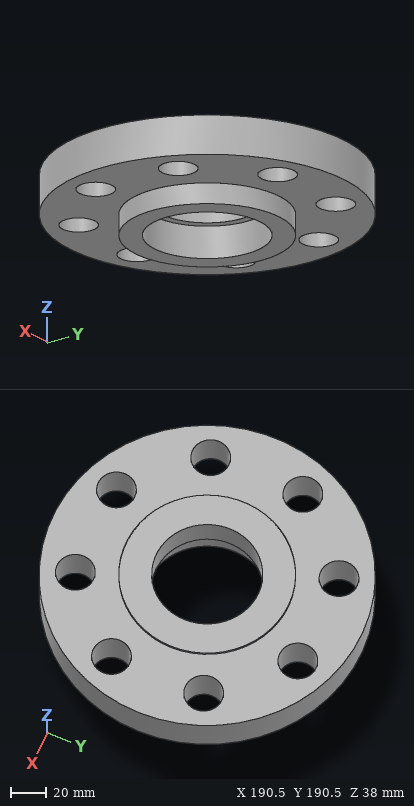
import cadquery as cq

flange_diameter = 190.5
flange_thickness = 24.0

hub_diameter = 100.2
hub_height = 12.5
raised_face_height = 1.5

bore_diameter = 62.9
socket_diameter = 73.5
socket_depth = 19.6

bolt_count = 8
bolt_hole_diameter = 22.5
bolt_circle_diameter = 149.4
bolt_pitch_angle = 360 / bolt_count

total_height = hub_height + flange_thickness + raised_face_height


def cylinder(diameter, base_z, height):
    """Solid cylinder on the part's axis, rising from base_z."""
    return cq.Workplane("XY").workplane(offset=base_z).circle(diameter / 2).extrude(height)


def bolt_holes():
    """Ring of cutters running through the flange plate."""
    return (
        cq.Workplane("XY")
        .workplane(offset=hub_height)
        .polarArray(bolt_circle_diameter / 2, bolt_pitch_angle / 2, 360, bolt_count)
        .circle(bolt_hole_diameter / 2)
        .extrude(flange_thickness)
    )


plate = cylinder(flange_diameter, hub_height, flange_thickness)
body = plate.union(cylinder(hub_diameter, 0, total_height))

bore = cylinder(bore_diameter, 0, total_height)
socket = cylinder(socket_diameter, 0, socket_depth)

result = body.cut(bore).cut(socket).cut(bolt_holes())